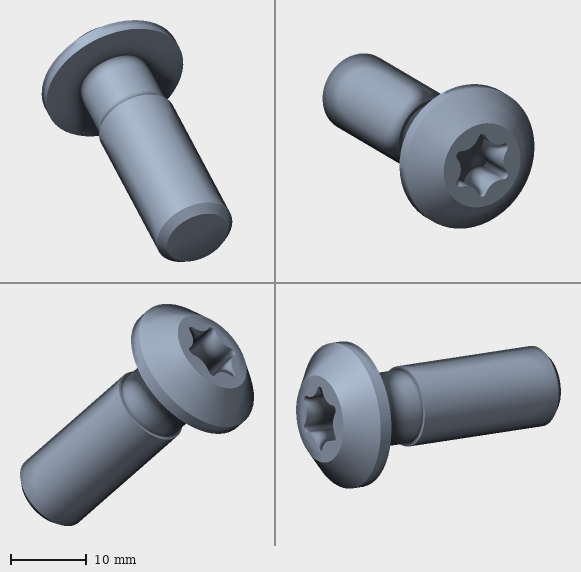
import cadquery as cq
import math

total_length = 35.0
cone_length = 3.32
head_length = 5.0
neck_length = 8.0
end_chamfer = 1.05

face_diameter = 11.6
head_diameter = 19.4
neck_diameter = 9.75
shank_diameter = 10.7

lobe_count = 6
socket_tip_radius = 4.38
socket_valley_radius = 3.22
lobe_round = 0.6
socket_depth = 5.95


def make_body():
    """Revolve the half profile of head, neck and shank about the X axis."""
    neck_end = head_length + neck_length
    shank_radius = shank_diameter / 2
    return (
        cq.Workplane("XZ")
        .moveTo(0, 0)
        .lineTo(0, face_diameter / 2)
        .lineTo(cone_length, head_diameter / 2)
        .lineTo(head_length, head_diameter / 2)
        .lineTo(head_length, neck_diameter / 2)
        .lineTo(neck_end, neck_diameter / 2)
        .lineTo(neck_end, shank_radius)
        .lineTo(total_length - end_chamfer, shank_radius)
        .lineTo(total_length, shank_radius - end_chamfer)
        .lineTo(total_length, 0)
        .close()
        .revolve(360, (0, 0, 0), (1, 0, 0))
    )


def polar(radius, angle):
    return (radius * math.cos(angle), radius * math.sin(angle))


def make_socket():
    """Extrude the lobed outline, built from tangent tip and valley arcs."""
    pitch = 2 * math.pi / lobe_count
    half_pitch = pitch / 2
    tip_centre = socket_tip_radius - lobe_round

    projection = tip_centre * math.cos(half_pitch)
    valley_round = (
        socket_valley_radius**2 + tip_centre**2 - lobe_round**2
        - 2 * projection * socket_valley_radius
    ) / (2 * (lobe_round + projection - socket_valley_radius))

    valley_x, valley_y = polar(socket_valley_radius + valley_round, half_pitch)
    share = lobe_round / (lobe_round + valley_round)
    tangent_x = tip_centre + share * (valley_x - tip_centre)
    tangent_y = share * valley_y
    tangent_radius = math.hypot(tangent_x, tangent_y)
    tangent_angle = math.atan2(tangent_y, tangent_x)

    first_lobe = math.pi / 2
    outline = cq.Workplane("YZ").moveTo(*polar(tangent_radius, first_lobe - tangent_angle))
    for lobe in range(lobe_count):
        angle = first_lobe + lobe * pitch
        outline = outline.threePointArc(
            polar(socket_tip_radius, angle),
            polar(tangent_radius, angle + tangent_angle),
        ).threePointArc(
            polar(socket_valley_radius, angle + half_pitch),
            polar(tangent_radius, angle + pitch - tangent_angle),
        )
    return outline.close().extrude(socket_depth)


result = make_body().cut(make_socket())